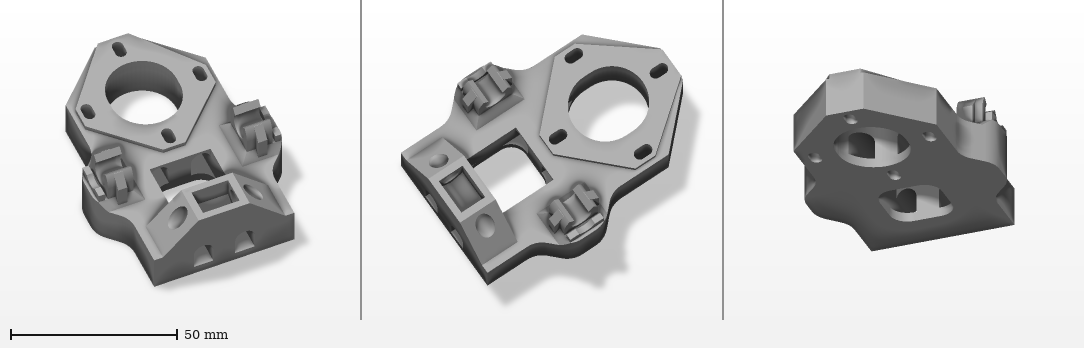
import cadquery as cq
import math


body_length = 83.0
body_half_width = 23.0
body_height = 12.5
nose_half_width = 6.0
nose_length = body_half_width - nose_half_width

clip_x = 51.5
lobe_half_width = 31.0
lobe_top_half = 5.75
lobe_base_half = lobe_top_half + lobe_half_width - body_half_width
lobe_radius = 8.0

motor_x = 23.1
motor_travel = 2.5
motor_bore_diameter = 22.4
motor_screw_diameter = 3.5
motor_screw_pitch = 26.0
motor_screw_offset = motor_screw_pitch / math.sqrt(2)
pad_height = 1.5
pad_x = motor_x + motor_travel / 2
pad_reach = 21.4
pad_tip_half = 3.65
pad_nose_half = 5.0

pocket_size = 20.0
pocket_x = 60.0
floor_thickness = 3.0
opening_radius = 5.6

channel_width = 6.4
channel_y = (pocket_size - channel_width) / 2
channel_spring_z = 8.4

rod_z = 20.2
rod_cover = 4.0

block_length = 13.0
block_x = body_length - block_length / 2
block_top = rod_z + rod_cover
block_top_half = 8.4
block_base_half = block_top_half + block_top - body_height
screw_diameter = 5.9
nut_flats = 8.65
nut_slot_length = 12.0

foot_height = 2.7
foot_top = body_height + foot_height
clip_radius = 6.1
clip_bore_radius = 3.65
clip_inner_y = 18.6
clip_outer_y = 27.0
foot_base_half = clip_radius + foot_height
rib_inner_y = 21.5
rib_outer_y = 24.5
rib_half_span = 8.05
rib_tip_half = 4.7
rib_top = rod_z + rod_cover
stop_inner_y = 28.0
stop_outer_y = 30.0
stop_top = 18.0


def prism_along_y(points, y_start, y_end):
    """Extrude an XZ outline between two Y positions."""
    return (
        cq.Workplane("XZ", origin=(0, y_start, 0))
        .polyline(points)
        .close()
        .extrude(y_start - y_end)
    )


def cylinder_along_y(x, radius, y_start, y_end):
    """Cylinder parallel to Y at the rod height."""
    return (
        cq.Workplane("XZ", origin=(x, y_start, rod_z))
        .circle(radius)
        .extrude(y_start - y_end)
    )


def box_between(x_range, y_range, z_range):
    """Axis-aligned box given by its limits."""
    size = [limits[1] - limits[0] for limits in (x_range, y_range, z_range)]
    corner = (x_range[0], y_range[0], z_range[0])
    return cq.Workplane("XY", origin=corner).box(*size, centered=False)


def make_body(height):
    """Pointed body plate with a rounded lobe on each side."""
    upper_edge = [
        (0, nose_half_width),
        (nose_length, body_half_width),
        (clip_x - lobe_base_half, body_half_width),
        (clip_x - lobe_top_half, lobe_half_width),
        (clip_x + lobe_top_half, lobe_half_width),
        (clip_x + lobe_base_half, body_half_width),
        (body_length, body_half_width),
    ]
    lower_edge = [(x, -y) for x, y in reversed(upper_edge)]
    plate = cq.Workplane("XY").polyline(upper_edge + lower_edge).close().extrude(height)
    margin = 1.0
    lobe_zone = cq.selectors.BoxSelector(
        (clip_x - lobe_base_half - margin, -lobe_half_width - margin, -margin),
        (clip_x + lobe_base_half + margin, lobe_half_width + margin, height + margin),
    )
    return plate.edges("|Z").edges(lobe_zone).fillet(lobe_radius)


def make_motor_pad():
    """Raised pad: a truncated diamond, widened toward the nose."""
    upper_edge = [
        (0, pad_nose_half),
        (pad_x - pad_tip_half, pad_reach),
        (pad_x + pad_tip_half, pad_reach),
        (pad_x + pad_reach, pad_tip_half),
    ]
    lower_edge = [(x, -y) for x, y in reversed(upper_edge)]
    return (
        cq.Workplane("XY", origin=(0, 0, body_height))
        .polyline(upper_edge + lower_edge)
        .close()
        .extrude(pad_height)
    )


def make_motor_holes():
    """Elongated motor bore and four elongated screw holes."""
    depth = body_height + pad_height
    screw_places = [
        (motor_screw_offset, 0),
        (-motor_screw_offset, 0),
        (0, motor_screw_offset),
        (0, -motor_screw_offset),
    ]
    motor_plane = cq.Workplane("XY", origin=(motor_x, 0, 0))
    bore = motor_plane.slot2D(motor_bore_diameter + motor_travel, motor_bore_diameter).extrude(depth)
    screws = (
        motor_plane.pushPoints(screw_places)
        .slot2D(motor_screw_diameter + motor_travel, motor_screw_diameter)
        .extrude(depth)
    )
    return bore.union(screws)


def make_pocket():
    """Square pocket above the floor plus the rounded opening through it."""
    pocket = (
        cq.Workplane("XY", origin=(pocket_x, 0, floor_thickness))
        .rect(pocket_size, pocket_size)
        .extrude(body_height - floor_thickness)
    )
    opening = (
        cq.Workplane("XY", origin=(pocket_x, 0, 0))
        .rect(pocket_size, pocket_size)
        .extrude(floor_thickness)
        .edges("|Z")
        .fillet(opening_radius)
    )
    return pocket.union(opening)


def make_channel(side):
    """Arched channel on one side, with a flat floor level with the pocket floor."""
    half_width = channel_width / 2
    return (
        cq.Workplane("YZ", origin=(motor_x, side * channel_y, 0))
        .moveTo(-half_width, floor_thickness)
        .lineTo(-half_width, channel_spring_z)
        .threePointArc((0, channel_spring_z + half_width), (half_width, channel_spring_z))
        .lineTo(half_width, floor_thickness)
        .close()
        .extrude(body_length - motor_x)
    )


def make_nut_block():
    """Block with 45 degree ends, a cross hole and a hexagon-bottomed nut slot."""
    block = (
        cq.Workplane("YZ", origin=(body_length - block_length, 0, 0))
        .polyline([
            (-block_base_half, body_height),
            (-block_top_half, block_top),
            (block_top_half, block_top),
            (block_base_half, body_height),
        ])
        .close()
        .extrude(block_length)
    )
    nut_half = nut_flats / 2
    nut_tip_radius = nut_flats / math.sqrt(3)
    nut_slot = prism_along_y(
        [
            (block_x - nut_half, block_top),
            (block_x - nut_half, rod_z - nut_tip_radius / 2),
            (block_x, rod_z - nut_tip_radius),
            (block_x + nut_half, rod_z - nut_tip_radius / 2),
            (block_x + nut_half, block_top),
        ],
        -nut_slot_length / 2,
        nut_slot_length / 2,
    )
    screw_hole = cylinder_along_y(block_x, screw_diameter / 2, -block_base_half, block_base_half)
    return block.cut(nut_slot).cut(screw_hole)


def make_foot():
    """Clip foot with 45 degree slopes on three sides, trimmed to the lobe outline."""
    section = prism_along_y(
        [
            (clip_x - foot_base_half, body_height),
            (clip_x - clip_radius, foot_top),
            (clip_x + clip_radius, foot_top),
            (clip_x + foot_base_half, body_height),
        ],
        clip_inner_y - foot_height,
        lobe_half_width,
    )
    side_profile = (
        cq.Workplane("YZ", origin=(clip_x - foot_base_half, 0, 0))
        .polyline([
            (clip_inner_y - foot_height, body_height),
            (clip_inner_y, foot_top),
            (lobe_half_width, foot_top),
            (lobe_half_width, body_height),
        ])
        .close()
        .extrude(2 * foot_base_half)
    )
    return section.intersect(side_profile).intersect(make_body(foot_top))


def make_rod_clip():
    """Complete rod clip on the +Y side."""
    clip_span = (clip_x - clip_radius, clip_x + clip_radius)
    clip = box_between(clip_span, (clip_inner_y, clip_outer_y), (foot_top, rod_z))
    clip = clip.union(cylinder_along_y(clip_x, clip_radius, clip_inner_y, clip_outer_y))
    ribs = prism_along_y(
        [
            (clip_x - rib_half_span, body_height),
            (clip_x - rib_half_span, rod_z),
            (clip_x - rib_tip_half, rib_top),
            (clip_x + rib_tip_half, rib_top),
            (clip_x + rib_half_span, rod_z),
            (clip_x + rib_half_span, body_height),
        ],
        rib_inner_y,
        rib_outer_y,
    )
    stop = box_between(clip_span, (stop_inner_y, stop_outer_y), (foot_top, stop_top))
    rod_space = cylinder_along_y(clip_x, clip_bore_radius, clip_inner_y, lobe_half_width)
    mouth = prism_along_y(
        [
            (clip_x, rod_z),
            (clip_x - clip_radius, rod_z + clip_radius),
            (clip_x + clip_radius, rod_z + clip_radius),
        ],
        clip_inner_y,
        clip_outer_y,
    )
    return make_foot().union(clip).union(ribs).union(stop).cut(rod_space).cut(mouth)


rod_clip = make_rod_clip()
result = make_body(body_height).union(make_motor_pad()).union(make_nut_block())
result = result.union(rod_clip).union(rod_clip.mirror("XZ"))
result = result.cut(make_motor_holes()).cut(make_pocket())
for side in (1, -1):
    result = result.cut(make_channel(side))